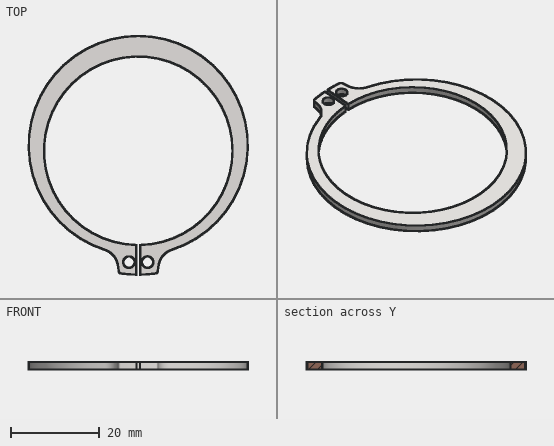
import cadquery as cq
import math

thickness = 1.7
outer_radius = 24.75
bore_radius = 21.25
bore_offset = 1.2
overall_length = 53.9

gap_width = 0.8
lug_half_width = 4.3
flank_taper = 8.0
lug_corner_radius = 0.6
neck_radius = 4.3
hole_diameter = 2.55
hole_x = 2.1
hole_y = -26.3

bore_y = -bore_offset
lug_tip_y = outer_radius - overall_length
lug_tip_radius = math.hypot(gap_width / 2, lug_tip_y - bore_y)

flank_angle = math.radians(-flank_taper)
normal_x = math.cos(flank_angle)
normal_y = math.sin(flank_angle)
flank_distance = lug_half_width * normal_x + lug_tip_y * normal_y

neck_reach = outer_radius + neck_radius
neck_direction = flank_angle - math.acos((flank_distance + neck_radius) / neck_reach)
tangent_x = outer_radius * math.cos(neck_direction)
tangent_y = outer_radius * math.sin(neck_direction)
neck_end_x = neck_reach * math.cos(neck_direction) - neck_radius * normal_x
neck_end_y = neck_reach * math.sin(neck_direction) - neck_radius * normal_y

corner_reach = lug_tip_radius - lug_corner_radius
corner_distance = flank_distance - lug_corner_radius - bore_y * normal_y
corner_direction = flank_angle - math.acos(corner_distance / corner_reach)
corner_start_x = corner_reach * math.cos(corner_direction) + lug_corner_radius * normal_x
corner_start_y = bore_y + corner_reach * math.sin(corner_direction) + lug_corner_radius * normal_y
corner_end_x = lug_tip_radius * math.cos(corner_direction)
corner_end_y = bore_y + lug_tip_radius * math.sin(corner_direction)


def make_ring_blank():
    """Solid plate with the outer circle and both lugs, before any cuts."""
    return (
        cq.Workplane("XY")
        .moveTo(tangent_x, tangent_y)
        .threePointArc((0, outer_radius), (-tangent_x, tangent_y))
        .radiusArc((-neck_end_x, neck_end_y), neck_radius)
        .lineTo(-corner_start_x, corner_start_y)
        .radiusArc((-corner_end_x, corner_end_y), -lug_corner_radius)
        .threePointArc((0, bore_y - lug_tip_radius), (corner_end_x, corner_end_y))
        .radiusArc((corner_start_x, corner_start_y), -lug_corner_radius)
        .lineTo(neck_end_x, neck_end_y)
        .radiusArc((tangent_x, tangent_y), neck_radius)
        .close()
        .extrude(thickness)
    )


def make_bore():
    return cq.Workplane("XY").center(0, bore_y).circle(bore_radius).extrude(thickness)


def make_gap():
    """Slot on the centre line, from inside the bore out past the lug ends."""
    return cq.Workplane("XY").box(
        gap_width, overall_length, thickness, centered=(True, False, False)
    ).translate((0, bore_y - overall_length, 0))


def make_plier_holes():
    return (
        cq.Workplane("XY")
        .pushPoints([(-hole_x, hole_y), (hole_x, hole_y)])
        .circle(hole_diameter / 2)
        .extrude(thickness)
    )


result = make_ring_blank().cut(make_bore()).cut(make_gap()).cut(make_plier_holes())